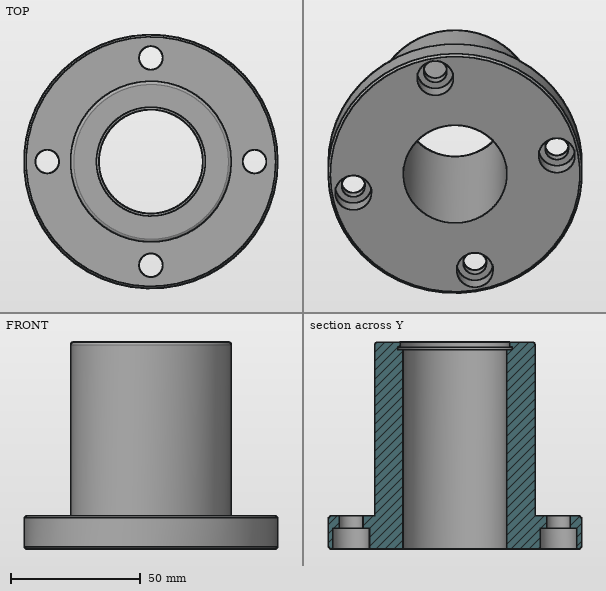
import cadquery as cq

flange_diameter = 98.0
flange_thickness = 12.9
flange_chamfer = 0.9
body_diameter = 62.0
body_edge_radius = 1.2
total_height = 80.0

bore_diameter = 40.0
recess_diameter = 42.0
recess_depth = 2.9
groove_diameter = 44.0
groove_height = 1.0

hole_count = 4
hole_circle_diameter = 80.0
hole_diameter = 9.0
counterbore_diameter = 14.0
counterbore_depth = 8.0


def make_cylinder(diameter, height, base=0):
    return cq.Workplane("XY", origin=(0, 0, base)).circle(diameter / 2).extrude(height)


def make_flange():
    return make_cylinder(flange_diameter, flange_thickness).edges().chamfer(flange_chamfer)


def make_body():
    return make_cylinder(body_diameter, total_height).faces(">Z").edges().fillet(body_edge_radius)


def make_bore():
    recess_base = total_height - recess_depth
    bore = make_cylinder(bore_diameter, total_height)
    recess = make_cylinder(recess_diameter, recess_depth, recess_base)
    groove = make_cylinder(groove_diameter, groove_height, recess_base)
    return bore.union(recess).union(groove)


def make_mounting_holes():
    centres = cq.Workplane("XY").polarArray(hole_circle_diameter / 2, 0, 360, hole_count)
    shanks = centres.circle(hole_diameter / 2).extrude(flange_thickness)
    counterbores = centres.circle(counterbore_diameter / 2).extrude(counterbore_depth)
    return shanks.union(counterbores)


result = make_flange().union(make_body()).cut(make_bore()).cut(make_mounting_holes())